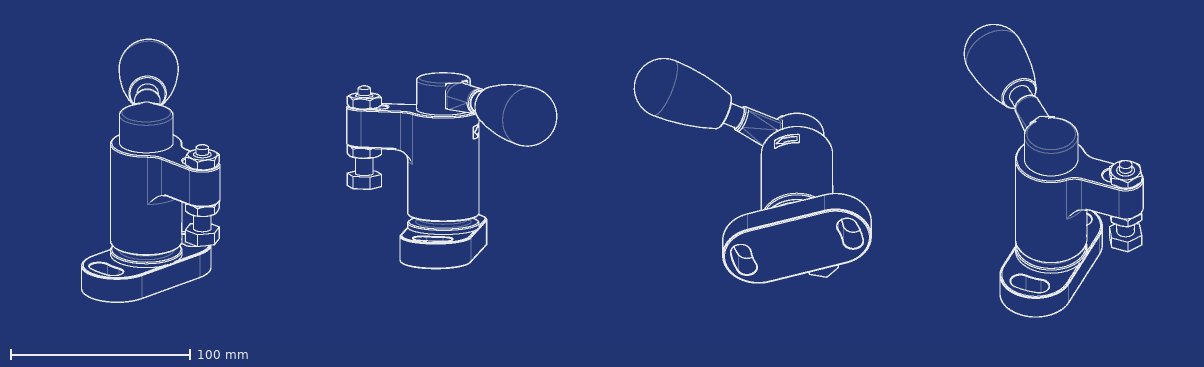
import cadquery as cq
import math


OVERALL_LENGTH = 130.4
BODY_RADIUS = 20.0
EDGE_CHAMFER = 0.7
SELECT_MARGIN = 0.1

BASE_LENGTH = 85.0
PLATE_TOP = 15.0
COLLAR_TOP = 18.0
NECK_RADIUS = 14.0
NECK_FILLET = 1.5
MOUNT_SLOT_RADIUS = 31.5
MOUNT_SLOT_WIDTH = 11.0
MOUNT_SLOT_LENGTH = 22.2
MOUNT_SLOT_REACH = MOUNT_SLOT_RADIUS + MOUNT_SLOT_WIDTH / 2
SLOT_CHAMFER = 0.4

HOUSING_BOTTOM = 22.2
HOUSING_TOP = 82.0
ARM_HEIGHT = 22.0
ARM_HALF_WIDTH = 9.9
ARM_BOTTOM = HOUSING_TOP - ARM_HEIGHT
ARM_SIDE_FILLET = 10.0
ARM_UNDER_CHAMFER = 0.9
ARM_UNDER_FILLET = 7.0
SCREW_SLOT_WIDTH = 11.0
SCREW_SLOT_TRAVEL = 8.0
SCREW_SLOT_CHAMFER = 0.5

MARK_LENGTH = 14.7
MARK_HEIGHT = 7.2
MARK_DEPTH = 0.3
MARK_CORNER_RADIUS = 0.9
MARK_CENTRE_Z = 71.0
ARROW_LENGTH = 12.1
ARROW_HEAD_LENGTH = 4.7
ARROW_HEAD_WIDTH = 5.7
ARROW_SHAFT_WIDTH = 3.5

LEVER_ANGLE = 135.0
HUB_RADIUS = 15.0
HUB_TOP_FILLET = 1.4
LEVER_ARM_RADIUS = 7.2
LEVER_AXIS_Z = 92.9
ARM_ROOT_FILLET = 1.4
HUB_TOP = LEVER_AXIS_Z + LEVER_ARM_RADIUS
ARM_ROOT_START = 13.0
SQUARE_ARM_START = HUB_RADIUS + ARM_ROOT_FILLET
SQUARE_ARM_END = 34.2
LEVER_ARM_END = 36.3
KNOB_START = 46.0
KNOB_BALL_CENTRE = 83.5
ROD_RADIUS = 6.0
SMALLEST_CORNER = 0.1
KNOB_RADIUS = 16.5
KNOB_SIDE_RADIUS = 113.5
KNOB_CHAMFER = 0.7

HEX_ACROSS_FLATS = 17.0
HEX_CORNER_RADIUS = HEX_ACROSS_FLATS / 2 / math.cos(math.radians(30))
NUT_HEIGHT = 6.0
NUT_FACE_RADIUS = 8.2
NUT_CHAMFER_ANGLE = 30.0
SCREW_RADIUS = 5.0
SCREW_HEAD_BOTTOM = 36.5
SCREW_HEAD_HEIGHT = 7.0
SCREW_CONE_HEIGHT = 0.8
SCREW_TIP_RADIUS = 3.5
SCREW_TIP_LENGTH = 3.5
SCREW_DOME_HEIGHT = 1.3

LEVER_REACH_X = -KNOB_BALL_CENTRE * math.cos(math.radians(LEVER_ANGLE)) + KNOB_RADIUS
SCREW_X = OVERALL_LENGTH - LEVER_REACH_X - ARM_HALF_WIDTH
UPPER_NUT_TOP = HOUSING_TOP + NUT_HEIGHT


def cylinder(radius, bottom, top):
    return cq.Workplane("XY").workplane(offset=bottom).circle(radius).extrude(top - bottom)


def curved_slot_cutter(side):
    """Slot through the plate, curved about the post axis, on the +Y (1) or -Y (-1) side."""
    half_width = MOUNT_SLOT_WIDTH / 2
    half_angle = math.asin((MOUNT_SLOT_LENGTH / 2 - half_width) / MOUNT_SLOT_RADIUS)

    def at(radius, angle):
        return (radius * math.sin(angle), side * radius * math.cos(angle))

    def end_cap_middle(sign):
        centre = at(MOUNT_SLOT_RADIUS, sign * half_angle)
        return (
            centre[0] + sign * half_width * math.cos(half_angle),
            centre[1] - side * half_width * math.sin(half_angle),
        )

    outer = MOUNT_SLOT_RADIUS + half_width
    inner = MOUNT_SLOT_RADIUS - half_width
    return (
        cq.Workplane("XY")
        .moveTo(*at(outer, -half_angle))
        .threePointArc(at(outer, 0), at(outer, half_angle))
        .threePointArc(end_cap_middle(1), at(inner, half_angle))
        .threePointArc(at(inner, 0), at(inner, -half_angle))
        .threePointArc(end_cap_middle(-1), at(outer, -half_angle))
        .close()
        .extrude(PLATE_TOP)
    )


def make_base():
    slots = curved_slot_cutter(1).union(curved_slot_cutter(-1))
    plate = (
        cq.Workplane("XY")
        .slot2D(BASE_LENGTH, 2 * BODY_RADIUS, 90)
        .extrude(PLATE_TOP)
        .faces("<Z or >Z")
        .edges()
        .chamfer(EDGE_CHAMFER)
        .cut(slots)
    )
    slot_zone = cq.selectors.BoxSelector(
        (-MOUNT_SLOT_LENGTH, -MOUNT_SLOT_REACH - SELECT_MARGIN, -SELECT_MARGIN),
        (MOUNT_SLOT_LENGTH, MOUNT_SLOT_REACH + SELECT_MARGIN, PLATE_TOP + SELECT_MARGIN),
    )
    plate = plate.faces("<Z or >Z").edges(slot_zone).chamfer(SLOT_CHAMFER)
    collar = cylinder(BODY_RADIUS, PLATE_TOP, COLLAR_TOP).faces(">Z").edges().chamfer(EDGE_CHAMFER)
    neck = cylinder(NECK_RADIUS, COLLAR_TOP, HOUSING_BOTTOM)
    post = collar.union(neck)
    neck_foot = cq.selectors.RadiusNthSelector(0)
    post = post.faces("<Z[1]").edges(neck_foot).fillet(NECK_FILLET)
    return plate.union(post)


def make_arm():
    """Arm with side fillets to the housing wall and a fillet below it that follows the wall."""
    fillet_y = ARM_HALF_WIDTH + ARM_SIDE_FILLET
    fillet_x = math.sqrt((BODY_RADIUS + ARM_SIDE_FILLET) ** 2 - fillet_y**2)
    wall_scale = BODY_RADIUS / (BODY_RADIUS + ARM_SIDE_FILLET)
    wall_x = fillet_x * wall_scale
    wall_y = fillet_y * wall_scale
    mid_angle = (math.atan2(-fillet_y, -fillet_x) - math.pi / 2) / 2
    mid_x = fillet_x + ARM_SIDE_FILLET * math.cos(mid_angle)
    mid_y = fillet_y + ARM_SIDE_FILLET * math.sin(mid_angle)
    web_bottom = ARM_BOTTOM - ARM_UNDER_FILLET
    arm = (
        cq.Workplane("XY")
        .workplane(offset=web_bottom)
        .moveTo(0, wall_y)
        .lineTo(wall_x, wall_y)
        .threePointArc((mid_x, mid_y), (fillet_x, ARM_HALF_WIDTH))
        .lineTo(SCREW_X, ARM_HALF_WIDTH)
        .threePointArc((SCREW_X + ARM_HALF_WIDTH, 0), (SCREW_X, -ARM_HALF_WIDTH))
        .lineTo(fillet_x, -ARM_HALF_WIDTH)
        .threePointArc((mid_x, -mid_y), (wall_x, -wall_y))
        .lineTo(0, -wall_y)
        .close()
        .extrude(HOUSING_TOP - web_bottom)
    )
    diagonal = ARM_UNDER_FILLET * math.sqrt(0.5)
    fillet_radius_from_axis = BODY_RADIUS + ARM_UNDER_FILLET
    under_cut = (
        cq.Workplane("XZ")
        .moveTo(BODY_RADIUS, web_bottom)
        .threePointArc(
            (fillet_radius_from_axis - diagonal, web_bottom + diagonal),
            (fillet_radius_from_axis, ARM_BOTTOM),
        )
        .lineTo(OVERALL_LENGTH, ARM_BOTTOM)
        .lineTo(OVERALL_LENGTH, web_bottom)
        .close()
        .revolve(360, (0, 0, 0), (0, 1, 0))
    )
    return arm.cut(under_cut)


def arm_under_chamfer_cutter():
    """Strip that chamfers the arm's lower edge from its level underside around the free end."""
    straight_start = math.sqrt((BODY_RADIUS + ARM_UNDER_FILLET) ** 2 - ARM_HALF_WIDTH**2)
    block_length = OVERALL_LENGTH - straight_start
    block = (
        cq.Workplane("XY")
        .box(block_length, 4 * ARM_HALF_WIDTH, ARM_UNDER_CHAMFER, centered=(False, True, False))
        .translate((straight_start, 0, ARM_BOTTOM))
    )
    chamfered_arm = (
        cq.Workplane("XY")
        .workplane(offset=ARM_BOTTOM)
        .center(SCREW_X / 2, 0)
        .slot2D(SCREW_X + 2 * ARM_HALF_WIDTH, 2 * ARM_HALF_WIDTH)
        .extrude(ARM_HEIGHT)
        .faces("<Z")
        .edges()
        .chamfer(ARM_UNDER_CHAMFER)
    )
    return block.cut(chamfered_arm)


def make_screw_slot():
    """Slot for the screw, running from the screw axis towards the post."""
    slot = (
        cq.Workplane("XY")
        .workplane(offset=ARM_BOTTOM)
        .center(SCREW_X - SCREW_SLOT_TRAVEL / 2, 0)
        .slot2D(SCREW_SLOT_TRAVEL + SCREW_SLOT_WIDTH, SCREW_SLOT_WIDTH)
        .extrude(ARM_HEIGHT)
    )
    return slot


def make_direction_mark():
    """Thin layer of the housing wall on the -X side, with an arrow pointing to +Y left standing."""
    frame = (
        cq.Workplane("YZ")
        .rect(MARK_LENGTH, MARK_HEIGHT)
        .extrude(-BODY_RADIUS)
        .edges("|X")
        .fillet(MARK_CORNER_RADIUS)
    )
    head_base = ARROW_LENGTH / 2 - ARROW_HEAD_LENGTH
    half_head = ARROW_HEAD_WIDTH / 2
    half_shaft = ARROW_SHAFT_WIDTH / 2
    arrow = (
        cq.Workplane("YZ")
        .moveTo(ARROW_LENGTH / 2, 0)
        .lineTo(head_base, half_head)
        .lineTo(head_base, half_shaft)
        .lineTo(-ARROW_LENGTH / 2, half_shaft)
        .lineTo(-ARROW_LENGTH / 2, -half_shaft)
        .lineTo(head_base, -half_shaft)
        .lineTo(head_base, -half_head)
        .close()
        .extrude(-BODY_RADIUS)
    )
    core = cylinder(BODY_RADIUS - MARK_DEPTH, -MARK_HEIGHT, MARK_HEIGHT)
    return frame.cut(arrow).cut(core).translate((0, 0, MARK_CENTRE_Z))


def make_housing():
    barrel = cylinder(BODY_RADIUS, HOUSING_BOTTOM, HOUSING_TOP)
    housing = barrel.union(make_arm())
    housing = housing.faces("<Z or >Z").edges().chamfer(EDGE_CHAMFER)
    housing = housing.cut(arm_under_chamfer_cutter())
    housing = housing.cut(make_screw_slot())
    slot_end = SCREW_SLOT_WIDTH / 2 + SELECT_MARGIN
    slot_zone = cq.selectors.BoxSelector(
        (SCREW_X - SCREW_SLOT_TRAVEL - slot_end, -slot_end, ARM_BOTTOM - SELECT_MARGIN),
        (SCREW_X + slot_end, slot_end, HOUSING_TOP + SELECT_MARGIN),
    )
    housing = housing.faces("|Z").edges(slot_zone).chamfer(SCREW_SLOT_CHAMFER)
    return housing.cut(make_direction_mark())


def arm_section(workplane, corner):
    """Closed outline of the lever arm: round above its axis, square below with rounded corners."""
    r = LEVER_ARM_RADIUS
    inset = corner * (1 - math.sqrt(0.5))
    return (
        workplane.moveTo(-r, 0)
        .threePointArc((0, r), (r, 0))
        .lineTo(r, corner - r)
        .threePointArc((r - inset, inset - r), (r - corner, -r))
        .lineTo(corner - r, -r)
        .threePointArc((inset - r, inset - r), (-r, corner - r))
        .close()
    )


def make_lever_arm():
    """Arm along +X whose lower half changes from square at the hub to round at its outer end."""
    hub_section = arm_section(cq.Workplane("YZ").workplane(offset=SQUARE_ARM_START), SMALLEST_CORNER)
    tapered = arm_section(
        hub_section.workplane(offset=SQUARE_ARM_END - SQUARE_ARM_START),
        LEVER_ARM_RADIUS - SMALLEST_CORNER,
    ).loft(ruled=True)
    round_end = (
        cq.Workplane("YZ")
        .workplane(offset=SQUARE_ARM_END)
        .circle(LEVER_ARM_RADIUS)
        .extrude(LEVER_ARM_END - SQUARE_ARM_END)
        .faces(">X")
        .edges()
        .chamfer(EDGE_CHAMFER)
    )
    return tapered.union(round_end)


def make_arm_root():
    """Fillet around the sides and crown of the arm where it leaves the hub."""
    r = LEVER_ARM_RADIUS
    wall = cq.Workplane("XY").workplane(offset=-r).circle(HUB_RADIUS).extrude(4 * r)
    arm = (
        cq.Workplane("YZ")
        .moveTo(-r, -r)
        .lineTo(-r, 0)
        .threePointArc((0, r), (r, 0))
        .lineTo(r, -r)
        .close()
        .extrude(SQUARE_ARM_START)
    )
    join_zone = cq.selectors.BoxSelector(
        (ARM_ROOT_START, -r - SELECT_MARGIN, SELECT_MARGIN - r),
        (HUB_RADIUS + SELECT_MARGIN, r + SELECT_MARGIN, r + SELECT_MARGIN),
    )
    filleted = wall.union(arm).edges(join_zone).fillet(ARM_ROOT_FILLET)
    root_length = SQUARE_ARM_START - ARM_ROOT_START
    root_zone = cq.Workplane("XY").box(root_length, 2 * HUB_RADIUS, 2 * r, centered=(False, True, True))
    return filleted.intersect(root_zone.translate((ARM_ROOT_START, 0, 0)))


def knob_side_radius(distance):
    """Knob radius at a distance from the hub axis; the side is an arc tangent to the ball."""
    before_ball = KNOB_BALL_CENTRE - distance
    return KNOB_RADIUS - KNOB_SIDE_RADIUS + math.sqrt(KNOB_SIDE_RADIUS**2 - before_ball**2)


def make_handle():
    """Rod and knob, turned about the lever's axis along +X."""
    shoulder = KNOB_START + KNOB_CHAMFER
    side_middle = (KNOB_START + KNOB_BALL_CENTRE) / 2
    diagonal = KNOB_RADIUS * math.sqrt(0.5)
    return (
        cq.Workplane("XY")
        .moveTo(SQUARE_ARM_END, 0)
        .lineTo(SQUARE_ARM_END, ROD_RADIUS)
        .lineTo(KNOB_START, ROD_RADIUS)
        .lineTo(KNOB_START, knob_side_radius(shoulder) - KNOB_CHAMFER)
        .lineTo(shoulder, knob_side_radius(shoulder))
        .threePointArc((side_middle, knob_side_radius(side_middle)), (KNOB_BALL_CENTRE, KNOB_RADIUS))
        .threePointArc((KNOB_BALL_CENTRE + diagonal, diagonal), (KNOB_BALL_CENTRE + KNOB_RADIUS, 0))
        .close()
        .revolve(360, (0, 0, 0), (1, 0, 0))
    )


def make_lever():
    hub = cylinder(HUB_RADIUS, HOUSING_TOP, HUB_TOP).faces(">Z").edges().fillet(HUB_TOP_FILLET)
    stick = make_lever_arm().union(make_handle()).union(make_arm_root())
    lever = hub.union(stick.translate((0, 0, LEVER_AXIS_Z)))
    return lever.rotate((0, 0, 0), (0, 0, 1), LEVER_ANGLE)


def hexagon(bottom, height):
    return (
        cq.Workplane("XY")
        .workplane(offset=bottom)
        .center(SCREW_X, 0)
        .polygon(6, 2 * HEX_CORNER_RADIUS)
        .extrude(height)
    )


def turned_about_screw_axis(outline):
    return outline.close().revolve(360, (0, 0, 0), (0, 1, 0)).translate((SCREW_X, 0, 0))


def make_nut(bottom):
    """Hexagon nut with both ends chamfered by a cone."""
    top = bottom + NUT_HEIGHT
    drop = (HEX_CORNER_RADIUS - NUT_FACE_RADIUS) * math.tan(math.radians(NUT_CHAMFER_ANGLE))
    chamfered_ring = turned_about_screw_axis(
        cq.Workplane("XZ")
        .moveTo(SCREW_RADIUS, bottom)
        .lineTo(NUT_FACE_RADIUS, bottom)
        .lineTo(HEX_CORNER_RADIUS, bottom + drop)
        .lineTo(HEX_CORNER_RADIUS, top - drop)
        .lineTo(NUT_FACE_RADIUS, top)
        .lineTo(SCREW_RADIUS, top)
    )
    return hexagon(bottom, NUT_HEIGHT).intersect(chamfered_ring)


def make_screw():
    """Screw with its head at the bottom and a domed tip standing above the upper nut."""
    cone_top = UPPER_NUT_TOP + SCREW_CONE_HEIGHT
    tip_top = cone_top + SCREW_TIP_LENGTH
    dome_top = tip_top + SCREW_DOME_HEIGHT
    dome_radius = (SCREW_TIP_RADIUS**2 + SCREW_DOME_HEIGHT**2) / (2 * SCREW_DOME_HEIGHT)
    dome_middle_x = SCREW_TIP_RADIUS / 2
    dome_middle_z = dome_top - dome_radius + math.sqrt(dome_radius**2 - dome_middle_x**2)
    shank = turned_about_screw_axis(
        cq.Workplane("XZ")
        .moveTo(0, SCREW_HEAD_BOTTOM)
        .lineTo(SCREW_RADIUS, SCREW_HEAD_BOTTOM)
        .lineTo(SCREW_RADIUS, UPPER_NUT_TOP)
        .lineTo(SCREW_TIP_RADIUS, cone_top)
        .lineTo(SCREW_TIP_RADIUS, tip_top)
        .threePointArc((dome_middle_x, dome_middle_z), (0, dome_top))
    )
    return shank.union(hexagon(SCREW_HEAD_BOTTOM, SCREW_HEAD_HEIGHT))


base = make_base()
housing = make_housing()
lever = make_lever()
screw = make_screw()
nuts = [make_nut(bottom) for bottom in (ARM_BOTTOM - NUT_HEIGHT, HOUSING_TOP)]

result = cq.Compound.makeCompound(
    [base.val(), housing.val(), lever.val(), screw.val(), *[nut.val() for nut in nuts]]
)